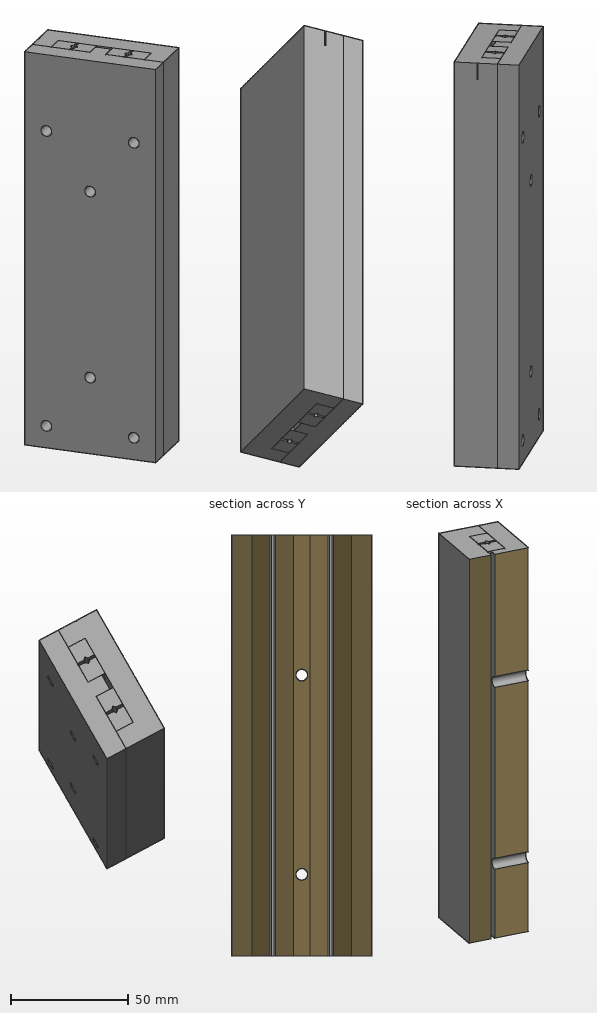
import cadquery as cq

WIDTH = 60.0
DEPTH = 28.0
LENGTH = 180.0

BASE_THICKNESS = 9.4
RIB_WIDTH = 7.2
RIB_HEIGHT = 6.7

CHANNEL_WIDTH = 42.5
CHANNEL_DEPTH = 8.3

RAIL_GAP = 1.0
RAIL_WIDTH = ((CHANNEL_WIDTH - RIB_WIDTH) / 2 - RAIL_GAP) / 2
GROOVE_DEPTH = 1.0
GROOVE_HEIGHT = 2 * GROOVE_DEPTH

HOLE_DIAMETER = 4.9
CORNER_HOLE_SPACING_X = 40.0
CORNER_HOLE_HEIGHTS = (10.0, 145.0)
CENTER_HOLE_HEIGHTS = (35.0, 120.0)

SLIT_WIDTH = 0.5
SLIT_LENGTH = 7.2
SLIT_DEPTH = 0.2
SLIT_FROM_BACK = 10.0


def block(x_min, x_max, y_min, y_max, z_min=0.0, z_max=LENGTH):
    """Box between two opposite corners."""
    size = (x_max - x_min, y_max - y_min, z_max - z_min)
    return cq.Workplane("XY").box(*size, centered=False).translate((x_min, y_min, z_min))


def base_holes(points, depth):
    """Round cutters that enter the front face at the given (x, z) points."""
    front_plane = cq.Workplane("XZ")
    return front_plane.pushPoints(points).circle(HOLE_DIAMETER / 2).extrude(-depth)


def make_base():
    """Plate with a central rib, four corner holes, and two center holes through the rib."""
    plate = block(-WIDTH / 2, WIDTH / 2, 0, BASE_THICKNESS)
    rib = block(-RIB_WIDTH / 2, RIB_WIDTH / 2, BASE_THICKNESS, BASE_THICKNESS + RIB_HEIGHT)
    corner_x = CORNER_HOLE_SPACING_X / 2
    corners = [(x, z) for x in (-corner_x, corner_x) for z in CORNER_HOLE_HEIGHTS]
    centers = [(0, z) for z in CENTER_HOLE_HEIGHTS]
    base = plate.union(rib)
    base = base.cut(base_holes(corners, BASE_THICKNESS))
    return base.cut(base_holes(centers, BASE_THICKNESS + RIB_HEIGHT))


def make_carriage():
    """Cover block with a full-length channel and a marking slit."""
    body = block(-WIDTH / 2, WIDTH / 2, BASE_THICKNESS, DEPTH)
    channel = block(-CHANNEL_WIDTH / 2, CHANNEL_WIDTH / 2, BASE_THICKNESS, BASE_THICKNESS + CHANNEL_DEPTH)
    slit_y = DEPTH - SLIT_FROM_BACK
    slit = block(
        -WIDTH / 2, -WIDTH / 2 + SLIT_DEPTH,
        slit_y - SLIT_WIDTH / 2, slit_y + SLIT_WIDTH / 2,
        LENGTH - SLIT_LENGTH, LENGTH,
    )
    return body.cut(channel).cut(slit)


def make_rail(x_min, groove_side):
    """Rail starting at x_min; groove_side is +1 or -1 for the X face with the V groove."""
    rail = block(x_min, x_min + RAIL_WIDTH, BASE_THICKNESS, BASE_THICKNESS + CHANNEL_DEPTH)
    face_x = x_min + RAIL_WIDTH if groove_side > 0 else x_min
    groove_y = BASE_THICKNESS + CHANNEL_DEPTH / 2
    groove = (
        cq.Workplane("XY")
        .moveTo(face_x, groove_y - GROOVE_HEIGHT / 2)
        .lineTo(face_x, groove_y + GROOVE_HEIGHT / 2)
        .lineTo(face_x - groove_side * GROOVE_DEPTH, groove_y)
        .close()
        .extrude(LENGTH)
    )
    return rail.cut(groove)


base = make_base()
carriage = make_carriage()

rails = []
for pair_start in (-CHANNEL_WIDTH / 2, RIB_WIDTH / 2):
    rails.append(make_rail(pair_start, 1))
    rails.append(make_rail(pair_start + RAIL_WIDTH + RAIL_GAP, -1))

result = cq.Compound.makeCompound(
    [base.val(), carriage.val()] + [rail.val() for rail in rails]
)